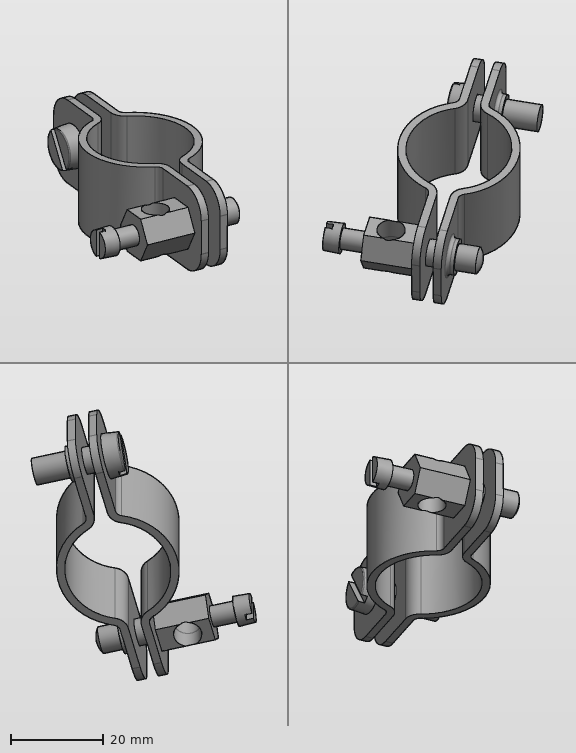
import cadquery as cq
import math

clamp_length = 63.0
clamp_width = 20.0
strap_thickness = 1.8
flange_gap = 2.95
corner_radius = 6.0
bend_radius = 1.7
arch_height = 13.3
bolt_offset = 23.0

half_length = clamp_length / 2
flange_inner = flange_gap / 2
flange_outer = flange_inner + strap_thickness
arch_center_y = -flange_inner
arch_radius = arch_height - arch_center_y

shank_diameter = 6.0
collar_diameter = 8.0
collar_height = 1.7
collar_fillet = 0.9

screw_end = 12.8
screw_head_base_diameter = 10.1
screw_head_top_diameter = 9.45
screw_head_height = 3.8
screw_head_rim_fillet = 0.25
screw_slot_width = 1.7
screw_slot_depth = 1.5
screw_slot_angle = 33.0

post_across_flats = 10.0
post_length = 12.0
post_end = -flange_outer - post_length
wire_hole_diameter = 6.1
wire_hole_y = -9.8
stud_shoulder = 9.65
stud_dome_height = 1.0

wire_screw_diameter = 4.7
wire_screw_tip = wire_hole_y - wire_hole_diameter / 2
wire_screw_end = -24.4
wire_head_height = 3.65
wire_head_base_diameter = 6.75
wire_head_top_diameter = 6.4
wire_slot_width = 1.3
wire_slot_depth = 1.6


def cylinder_y(x, y_start, y_end, diameter):
    """Cylinder along Y from y_start up to y_end, at mid-height."""
    start = cq.Vector(x, y_start, 0)
    direction = cq.Vector(0, 1, 0)
    return cq.Workplane(cq.Solid.makeCylinder(diameter / 2, y_end - y_start, start, direction))


def make_strap():
    """Bent strap on the +Y side with rounded flange corners and bolt holes."""
    bend_center_y = flange_outer + bend_radius
    rise = bend_center_y - arch_center_y
    reach = arch_radius + bend_radius
    bend_x = math.sqrt(reach**2 - rise**2)
    tangent_angle = math.atan2(-rise, -bend_x)
    middle_angle = (tangent_angle - math.pi / 2) / 2

    def bend_point(radius, angle):
        return bend_x + radius * math.cos(angle), bend_center_y + radius * math.sin(angle)

    def mirrored(point):
        return -point[0], point[1]

    outer_tangent = bend_point(bend_radius, tangent_angle)
    outer_middle = bend_point(bend_radius, middle_angle)
    inner_bend = bend_radius + strap_thickness
    inner_tangent = bend_point(inner_bend, tangent_angle)
    inner_middle = bend_point(inner_bend, middle_angle)
    strap = (
        cq.Workplane("XY", origin=(0, 0, -clamp_width / 2))
        .moveTo(half_length, flange_inner)
        .lineTo(half_length, flange_outer)
        .lineTo(bend_x, flange_outer)
        .threePointArc(outer_middle, outer_tangent)
        .threePointArc((0, arch_height), mirrored(outer_tangent))
        .threePointArc(mirrored(outer_middle), (-bend_x, flange_outer))
        .lineTo(-half_length, flange_outer)
        .lineTo(-half_length, flange_inner)
        .lineTo(-bend_x, flange_inner)
        .threePointArc(mirrored(inner_middle), mirrored(inner_tangent))
        .threePointArc((0, arch_height - strap_thickness), inner_tangent)
        .threePointArc(inner_middle, (bend_x, flange_inner))
        .close()
        .extrude(clamp_width)
    )
    strap = strap.edges("|Y and (<X or >X)").fillet(corner_radius)
    for x in (-bolt_offset, bolt_offset):
        strap = strap.cut(cylinder_y(x, flange_inner, flange_outer, shank_diameter))
    return strap


def make_collar(x):
    """Flanged neck with a concave fillet at its foot."""
    bore = shank_diameter / 2
    neck = collar_diameter / 2
    fillet_top = flange_outer + collar_fillet
    fillet_rim = neck + collar_fillet
    fillet_middle = collar_fillet * (1 - math.sqrt(0.5))
    return (
        cq.Workplane("XY")
        .moveTo(bore, flange_outer)
        .lineTo(fillet_rim, flange_outer)
        .threePointArc((neck + fillet_middle, flange_outer + fillet_middle), (neck, fillet_top))
        .lineTo(neck, flange_outer + collar_height)
        .lineTo(bore, flange_outer + collar_height)
        .close()
        .revolve(360, (0, 0, 0), (0, 1, 0))
        .translate((x, 0, 0))
    )


def make_front_clamp():
    return make_strap().mirror("XZ")


def make_rear_clamp():
    clamp = make_strap()
    for x in (-bolt_offset, bolt_offset):
        clamp = clamp.union(make_collar(x))
    return clamp


def make_tapered_head(x, y_base, height, base_diameter, top_diameter):
    """Tapered head extending toward -Y."""
    base = cq.Vector(x, y_base, 0)
    cone = cq.Solid.makeCone(base_diameter / 2, top_diameter / 2, height, base, cq.Vector(0, -1, 0))
    return cq.Workplane(cone)


def make_slot(x, y_end, width, depth, length, angle):
    """Driver slot cut in from y_end, turned about Y."""
    return (
        cq.Workplane("XY")
        .box(width, depth, length)
        .rotate((0, 0, 0), (0, 1, 0), angle)
        .translate((x, y_end + depth / 2, 0))
    )


def make_clamping_screw():
    head = make_tapered_head(
        -bolt_offset, -flange_outer, screw_head_height,
        screw_head_base_diameter, screw_head_top_diameter,
    )
    head = head.faces("<Y").edges().fillet(screw_head_rim_fillet)
    slot = make_slot(
        -bolt_offset, -flange_outer - screw_head_height,
        screw_slot_width, screw_slot_depth, screw_head_base_diameter, -screw_slot_angle,
    )
    return head.cut(slot).union(cylinder_y(-bolt_offset, -flange_outer, screw_end, shank_diameter))


def make_stud():
    """Stud with a spherical end cap."""
    stud_radius = shank_diameter / 2
    dome_radius = (stud_radius**2 + stud_dome_height**2) / (2 * stud_dome_height)
    dome_top = stud_shoulder + stud_dome_height
    dome_center_y = dome_top - dome_radius
    half_angle = math.asin(stud_radius / dome_radius) / 2
    dome_middle = (dome_radius * math.sin(half_angle), dome_center_y + dome_radius * math.cos(half_angle))
    return (
        cq.Workplane("XY")
        .moveTo(0, -flange_outer)
        .lineTo(stud_radius, -flange_outer)
        .lineTo(stud_radius, stud_shoulder)
        .threePointArc(dome_middle, (0, dome_top))
        .close()
        .revolve(360, (0, 0, 0), (0, 1, 0))
        .translate((bolt_offset, 0, 0))
    )


def make_terminal_post():
    across_corners = post_across_flats / math.cos(math.pi / 6)
    post = (
        cq.Workplane("XZ", origin=(bolt_offset, -flange_outer, 0))
        .polygon(6, across_corners)
        .extrude(post_length)
    )
    wire_hole = (
        cq.Workplane("XY", origin=(bolt_offset, wire_hole_y, 0))
        .circle(wire_hole_diameter / 2)
        .extrude(post_across_flats, both=True)
    )
    screw_bore = cylinder_y(bolt_offset, post_end, wire_screw_tip, wire_screw_diameter)
    return post.union(make_stud()).cut(wire_hole).cut(screw_bore)


def make_wire_screw():
    head_base = wire_screw_end + wire_head_height
    head = make_tapered_head(
        bolt_offset, head_base, wire_head_height,
        wire_head_base_diameter, wire_head_top_diameter,
    )
    slot = make_slot(
        bolt_offset, wire_screw_end, wire_slot_width, wire_slot_depth, wire_head_base_diameter, 0,
    )
    return head.cut(slot).union(cylinder_y(bolt_offset, head_base, wire_screw_tip, wire_screw_diameter))


front_clamp = make_front_clamp()
rear_clamp = make_rear_clamp()
clamping_screw = make_clamping_screw()
terminal_post = make_terminal_post()
wire_screw = make_wire_screw()

result = cq.Compound.makeCompound([
    front_clamp.val(),
    rear_clamp.val(),
    clamping_screw.val(),
    terminal_post.val(),
    wire_screw.val(),
])